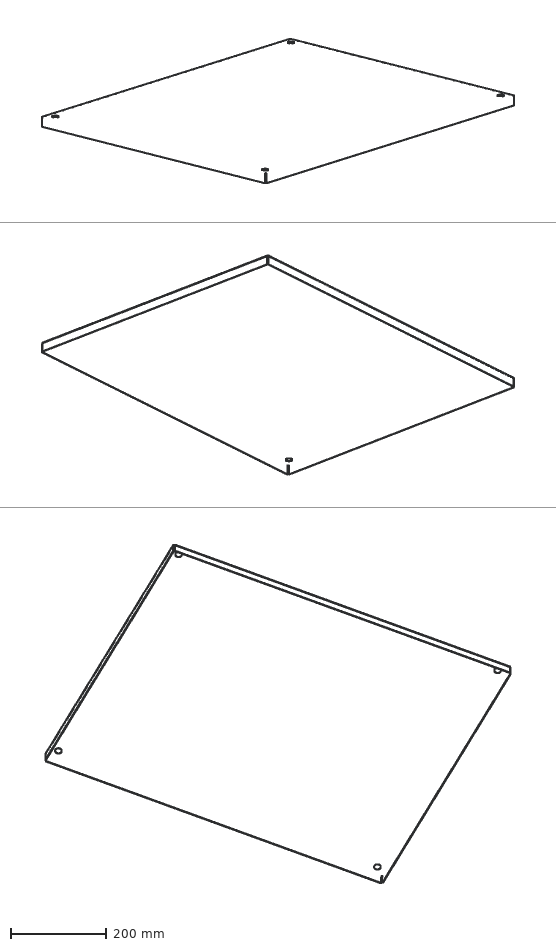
import cadquery as cq

width = 635.0
length = 784.0
height = 22.0

sheet_thickness = 2.0
bend_radius = 3.3

hole_diameter = 14.0
hole_inset = 22.0


def folded_channel(span, run):
    """Sheet channel along Y: flat top, rounded bends and two downward skirts."""
    outer = cq.Workplane("XY").box(span, run, height, centered=(True, True, False))
    outer = outer.edges("|Y and >Z").fillet(bend_radius)
    cavity = cq.Workplane("XY").box(
        span - 2 * sheet_thickness,
        run,
        height - sheet_thickness,
        centered=(True, True, False),
    )
    cavity = cavity.edges("|Y and >Z").fillet(bend_radius - sheet_thickness)
    return outer.cut(cavity)


side_skirts = folded_channel(width, length - 2 * bend_radius)
end_skirts = folded_channel(length, width - 2 * bend_radius).rotate((0, 0, 0), (0, 0, 1), 90)
pan = side_skirts.union(end_skirts)

holes = (
    cq.Workplane("XY")
    .rect(width - 2 * hole_inset, length - 2 * hole_inset, forConstruction=True)
    .vertices()
    .circle(hole_diameter / 2)
    .extrude(height)
)

result = pan.cut(holes)